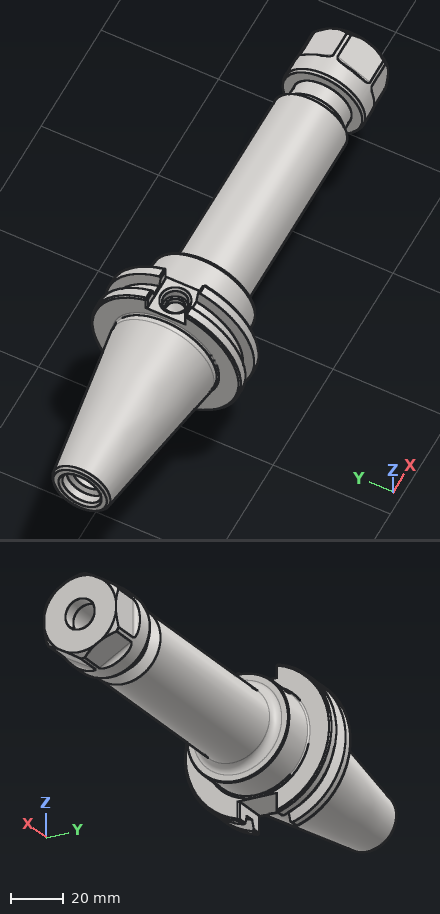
import cadquery as cq
import math

TAPER_LENGTH = 68.3
GAUGE_DIAMETER = 44.3
TAPER_RATIO = 7 / 24
TAPER_EDGE_LENGTH = 1.1
TAPER_EDGE_DIAMETER = 22.9

FLANGE_START = 71.3
FLANGE_WIDTH = 16.3
FLANGE_DIAMETER = 63.5
FLANGE_EDGE = 0.7
FLANGE_FILLET = 0.7
GROOVE_DIAMETER = 55.7
GROOVE_FLOOR_WIDTH = 4.0
GROOVE_RIM_WIDTH = 7.2

SLOT_WIDTH = 15.8
TOP_SLOT_HEIGHT = 25
BOTTOM_SLOT_HEIGHT = 22.9
CHIP_SEAT_DIAMETER = 10.2
CHIP_RIM_DIAMETER = 12.2
CHIP_SEAT_DEPTH = 4.5
CHIP_DRILL_DIAMETER = 8.0
CHIP_DRILL_DEPTH = 6.8
CHIP_TIP_ANGLE = 118

COLLAR_END = 103.2
COLLAR_EDGE_LENGTH = 0.7
COLLAR_EDGE_DIAMETER = 44.0
SHANK_DIAMETER = 31.7
SHANK_FILLET = 3.5
SHANK_END = 191.9
NECK_DIAMETER = 25
NECK_START = 195.3

BORE_DIAMETER = 12.7
THREAD_DIAMETER = 16.5
MOUTH_DIAMETER = 18.3
MOUTH_DEPTH = 1.4
THREAD_END = 5.0
THREAD_CONE_END = 6.5

NUT_START = 202.0
NUT_END = 226.2
NUT_DIAMETER = 35.0
NUT_REAR_DIAMETER = 34
NUT_REAR_EDGE = 1.4
NUT_FRONT_EDGE = 2.0
NUT_FACE_DIAMETER = 31.5
ACROSS_FLATS = 31.2
FLATS_START = 213.0
FLAT_COUNT = 6
SEAT_DEPTH = 18

FLANGE_END = FLANGE_START + FLANGE_WIDTH
FLANGE_MIDDLE = FLANGE_START + FLANGE_WIDTH / 2
NECK_END = NUT_START + SEAT_DEPTH


def revolve_about_x(points):
    """Solid of revolution about the X axis from a closed outline of (x, diameter) points."""
    outline = [(x, diameter / 2) for x, diameter in points]
    return cq.Workplane("XY").polyline(outline).close().revolve(360, (0, 0, 0), (1, 0, 0))


def make_shaft():
    """Taper, collar, shank and neck."""
    small_end_diameter = GAUGE_DIAMETER - (TAPER_LENGTH - TAPER_EDGE_LENGTH) * TAPER_RATIO
    return revolve_about_x([
        (0, 0),
        (0, TAPER_EDGE_DIAMETER),
        (TAPER_EDGE_LENGTH, small_end_diameter),
        (TAPER_LENGTH, GAUGE_DIAMETER),
        (COLLAR_END - COLLAR_EDGE_LENGTH, GAUGE_DIAMETER),
        (COLLAR_END, COLLAR_EDGE_DIAMETER),
        (COLLAR_END, SHANK_DIAMETER),
        (SHANK_END, SHANK_DIAMETER),
        (NECK_START, NECK_DIAMETER),
        (NECK_END, NECK_DIAMETER),
        (NECK_END, 0),
    ])


def make_root_fillet(x, diameter, radius, direction):
    """Ring with a concave round between a shoulder at x and a cylinder.

    The ring lies on the +X side of the shoulder if direction is 1, on the -X side if it is -1.
    """
    surface = diameter / 2
    tangent_x = x + direction * radius
    offset = radius * (1 - math.sqrt(0.5))
    return (
        cq.Workplane("XY")
        .moveTo(x, surface)
        .lineTo(tangent_x, surface)
        .threePointArc((x + direction * offset, surface + offset), (x, surface + radius))
        .close()
        .revolve(360, (0, 0, 0), (1, 0, 0))
    )


def make_flange():
    """Disc with both drive slots; every edge except those of the slot floors is chamfered."""
    disc = (
        cq.Workplane("YZ", origin=(FLANGE_START, 0, 0))
        .circle(FLANGE_DIAMETER / 2)
        .extrude(FLANGE_WIDTH)
    )
    disc = disc.cut(make_slot(TOP_SLOT_HEIGHT, 1))
    disc = disc.cut(make_slot(BOTTOM_SLOT_HEIGHT, -1))
    rim_edges = disc.edges("%CIRCLE or |Z").add(disc.edges("|X").edges(">Z or <Z"))
    return rim_edges.chamfer(FLANGE_EDGE)


def make_flange_groove():
    """Ring that cuts the groove, wider at the rim than at its floor."""
    floor_half = GROOVE_FLOOR_WIDTH / 2
    rim_half = GROOVE_RIM_WIDTH / 2
    return revolve_about_x([
        (FLANGE_MIDDLE - rim_half, FLANGE_DIAMETER),
        (FLANGE_MIDDLE - floor_half, GROOVE_DIAMETER),
        (FLANGE_MIDDLE + floor_half, GROOVE_DIAMETER),
        (FLANGE_MIDDLE + rim_half, FLANGE_DIAMETER),
    ])


def make_slot(floor_height, direction):
    """Box that cuts one drive slot; direction is 1 for the top and -1 for the bottom."""
    slot_depth = FLANGE_DIAMETER / 2 - floor_height
    middle_height = direction * (floor_height + slot_depth / 2)
    return (
        cq.Workplane("XY")
        .box(FLANGE_WIDTH, SLOT_WIDTH, slot_depth)
        .translate((FLANGE_MIDDLE, 0, middle_height))
    )


def make_chip_hole():
    """Stepped blind hole in the top slot floor: chamfered seat, drill hole, drill tip."""
    rim = CHIP_RIM_DIAMETER / 2
    seat = CHIP_SEAT_DIAMETER / 2
    drill = CHIP_DRILL_DIAMETER / 2
    tip_length = drill / math.tan(math.radians(CHIP_TIP_ANGLE / 2))
    outline = [
        (0, 0),
        (rim, 0),
        (seat, seat - rim),
        (seat, -CHIP_SEAT_DEPTH),
        (drill, -CHIP_SEAT_DEPTH),
        (drill, -CHIP_DRILL_DEPTH),
        (0, -CHIP_DRILL_DEPTH - tip_length),
    ]
    hole = cq.Workplane("XZ").polyline(outline).close().revolve(360, (0, 0, 0), (0, 1, 0))
    return hole.translate((FLANGE_MIDDLE, 0, TOP_SLOT_HEIGHT))


def make_bore():
    """Through bore of the holder with its wider threaded mouth at the small end."""
    return revolve_about_x([
        (0, 0),
        (0, MOUTH_DIAMETER),
        (MOUTH_DEPTH, THREAD_DIAMETER),
        (THREAD_END, THREAD_DIAMETER),
        (THREAD_CONE_END, BORE_DIAMETER),
        (NECK_END, BORE_DIAMETER),
        (NECK_END, 0),
    ])


def make_holder():
    holder = make_shaft().union(make_flange())
    holder = holder.union(make_root_fillet(FLANGE_START, GAUGE_DIAMETER, FLANGE_FILLET, -1))
    holder = holder.union(make_root_fillet(FLANGE_END, GAUGE_DIAMETER, FLANGE_FILLET, 1))
    holder = holder.union(make_root_fillet(COLLAR_END, SHANK_DIAMETER, SHANK_FILLET, 1))
    holder = holder.cut(make_flange_groove())
    holder = holder.cut(make_chip_hole())
    return holder.cut(make_bore())


def make_nut_blank():
    """Ring with chamfered rims, a seat for the neck and a bore in its front wall."""
    return revolve_about_x([
        (NUT_START, NECK_DIAMETER),
        (NUT_START, NUT_REAR_DIAMETER),
        (NUT_START + NUT_REAR_EDGE, NUT_DIAMETER),
        (NUT_END - NUT_FRONT_EDGE, NUT_DIAMETER),
        (NUT_END, NUT_FACE_DIAMETER),
        (NUT_END, BORE_DIAMETER),
        (NECK_END, BORE_DIAMETER),
        (NECK_END, NECK_DIAMETER),
    ])


def make_flat(angle):
    """Cutter for one wrench flat, its rear end rounded up to the nut surface."""
    flat = ACROSS_FLATS / 2
    outer = NUT_DIAMETER / 2
    radius = outer - flat
    offset = radius * math.sqrt(0.5)
    return (
        cq.Workplane("XZ")
        .moveTo(FLATS_START, flat)
        .lineTo(NUT_END, flat)
        .lineTo(NUT_END, outer)
        .lineTo(FLATS_START - radius, outer)
        .threePointArc((FLATS_START - offset, outer - offset), (FLATS_START, flat))
        .close()
        .extrude(outer, both=True)
        .rotate((0, 0, 0), (1, 0, 0), angle)
    )


def make_nut():
    nut = make_nut_blank()
    for index in range(FLAT_COUNT):
        nut = nut.cut(make_flat(90 + index * 360 / FLAT_COUNT))
    return nut


holder = make_holder()
nut = make_nut()
result = cq.Compound.makeCompound([holder.val(), nut.val()])